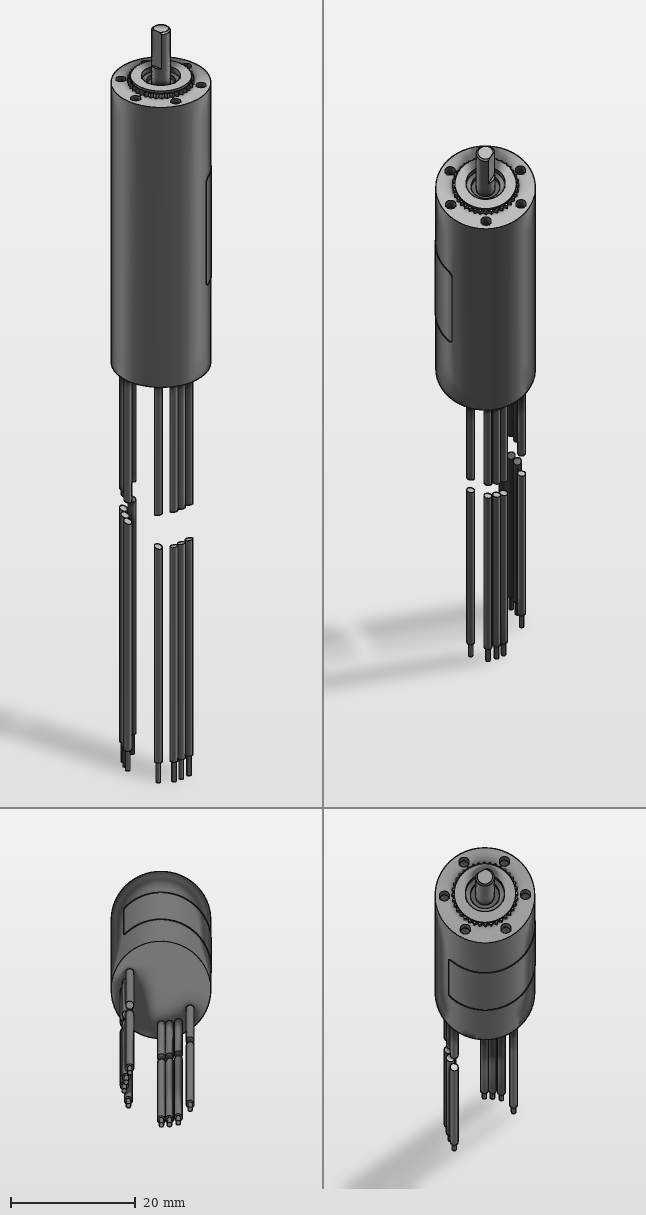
import cadquery as cq
import math


OVERALL_LENGTH = 137

HOUSING_DIAMETER = 16.0
HOUSING_RADIUS = HOUSING_DIAMETER / 2
HOUSING_LENGTH = 52.2

PAD_THICKNESS = 0.1
PAD_EDGE_Y = 1.8
PAD_BOTTOM = 16.2
PAD_HEIGHT = 20.0
PAD_CORNER_RADIUS = 0.8

BOSS_RADIUS = 5.0
BOSS_HEIGHT = 1.2
TOOTH_TIP_RADIUS = 5.3
TOOTH_HEIGHT = 0.8
TOOTH_COUNT = 36

RECESS_RADIUS = 3.2
RECESS_DEPTH = 1.0
INNER_RECESS_RADIUS = 2.3
INNER_RECESS_DEPTH = 1.6

HOLE_COUNT = 6
HOLE_CIRCLE_DIAMETER = 13.0
HOLE_DIAMETER = 1.6
HOLE_DEPTH = 2.0
DRILL_TIP_ANGLE = 118

SHAFT_RADIUS = 1.5
SHAFT_LENGTH = 10.0
FLAT_LENGTH = 6.7
FLAT_DISTANCE = 1.1
TIP_CHAMFER = 0.3

WIRE_DIAMETER = 1.29
CORE_DIAMETER = 0.75
CORE_LENGTH = 3.8
WIRE_END_Z = HOUSING_LENGTH + SHAFT_LENGTH - OVERALL_LENGTH
LEFT_WIRE_PLACES = [(-5.6, -0.4), (-5.1, -3.3), (-4.0, -4.2), (-2.9, -5.0)]
RIGHT_WIRE_PLACES = [(5.8, 0), (5.5, -1.6), (5.1, -3.0), (3.3, -4.8)]

LEFT_UPPER_BREAK = [(-2.0, -24.8), (-6.6, -23.4)]
LEFT_LOWER_BREAK = [(-2.0, -28.8), (-6.6, -27.0)]
RIGHT_UPPER_BREAK = [(2.5, -25.1), (6.6, -24.1)]
RIGHT_LOWER_BREAK = [(2.5, -30.7), (4.2, -31.2), (6.6, -30.7)]


def cylinder(radius, bottom, height):
    return cq.Workplane("XY").workplane(offset=bottom).circle(radius).extrude(height)


def make_label_pad():
    outer = HOUSING_RADIUS + PAD_THICKNESS
    window = (
        cq.Workplane("YZ")
        .center(PAD_EDGE_Y + outer, PAD_BOTTOM + PAD_HEIGHT / 2)
        .rect(2 * outer, PAD_HEIGHT)
        .extrude(outer, both=True)
        .edges("|X and <Y")
        .fillet(PAD_CORNER_RADIUS)
    )
    return cylinder(outer, PAD_BOTTOM, PAD_HEIGHT).intersect(window)


def make_boss():
    points = []
    for i in range(2 * TOOTH_COUNT):
        radius = BOSS_RADIUS if i % 2 else TOOTH_TIP_RADIUS
        angle = math.pi * i / TOOTH_COUNT
        points.append((radius * math.cos(angle), radius * math.sin(angle)))
    teeth = (
        cq.Workplane("XY")
        .workplane(offset=HOUSING_LENGTH)
        .polyline(points)
        .close()
        .extrude(TOOTH_HEIGHT)
    )
    return cylinder(BOSS_RADIUS, HOUSING_LENGTH, BOSS_HEIGHT).union(teeth)


def make_recess():
    boss_top = HOUSING_LENGTH + BOSS_HEIGHT
    outer = cylinder(RECESS_RADIUS, boss_top - RECESS_DEPTH, RECESS_DEPTH)
    inner = cylinder(INNER_RECESS_RADIUS, boss_top - INNER_RECESS_DEPTH, INNER_RECESS_DEPTH)
    return outer.union(inner)


def make_mounting_holes():
    radius = HOLE_DIAMETER / 2
    tip = radius / math.tan(math.radians(DRILL_TIP_ANGLE / 2))
    hole = (
        cq.Workplane("XZ")
        .polyline([(0, 0), (radius, 0), (radius, -HOLE_DEPTH), (0, -HOLE_DEPTH - tip)])
        .close()
        .revolve(360, (0, 0), (0, 1))
        .val()
    )
    return (
        cq.Workplane("XY")
        .workplane(offset=HOUSING_LENGTH)
        .polarArray(HOLE_CIRCLE_DIAMETER / 2, 90, 360, HOLE_COUNT)
        .eachpoint(lambda place: hole.moved(place), combine=False)
    )


def make_shaft():
    tip_z = HOUSING_LENGTH + SHAFT_LENGTH
    base_z = HOUSING_LENGTH + BOSS_HEIGHT - INNER_RECESS_DEPTH
    shaft = cylinder(SHAFT_RADIUS, base_z, tip_z - base_z).faces(">Z").chamfer(TIP_CHAMFER)
    flat = (
        cq.Workplane("XY")
        .box(2 * SHAFT_RADIUS, SHAFT_RADIUS, FLAT_LENGTH, centered=(True, False, False))
        .translate((0, -FLAT_DISTANCE - SHAFT_RADIUS, tip_z - FLAT_LENGTH))
    )
    return shaft.cut(flat)


def break_prism(edge, far_z):
    """Space between a break edge and a far level, wide enough to hold every wire of a group."""
    profile = edge + [(edge[-1][0], far_z), (edge[0][0], far_z)]
    return cq.Workplane("XZ").polyline(profile).close().extrude(HOUSING_RADIUS, both=True)


def make_upper_wire(place, edge):
    x, y = place
    wire = cylinder(WIRE_DIAMETER / 2, WIRE_END_Z, -WIRE_END_Z).translate((x, y, 0))
    return wire.intersect(break_prism(edge, 0))


def make_lower_wire(place, edge):
    x, y = place
    insulation_end = WIRE_END_Z + CORE_LENGTH
    insulation = cylinder(WIRE_DIAMETER / 2, insulation_end, -insulation_end).translate((x, y, 0))
    core = cylinder(CORE_DIAMETER / 2, WIRE_END_Z, CORE_LENGTH).translate((x, y, 0))
    return insulation.intersect(break_prism(edge, WIRE_END_Z)).union(core)


def make_motor():
    motor = cylinder(HOUSING_RADIUS, 0, HOUSING_LENGTH)
    motor = motor.union(make_label_pad()).union(make_boss())
    motor = motor.cut(make_recess()).cut(make_mounting_holes())
    motor = motor.union(make_shaft())
    for place in LEFT_WIRE_PLACES:
        motor = motor.union(make_upper_wire(place, LEFT_UPPER_BREAK))
    for place in RIGHT_WIRE_PLACES:
        motor = motor.union(make_upper_wire(place, RIGHT_UPPER_BREAK))
    return motor


motor = make_motor()
lower_wires = [make_lower_wire(place, LEFT_LOWER_BREAK) for place in LEFT_WIRE_PLACES]
lower_wires += [make_lower_wire(place, RIGHT_LOWER_BREAK) for place in RIGHT_WIRE_PLACES]

result = cq.Compound.makeCompound([motor.val(), *[wire.val() for wire in lower_wires]])